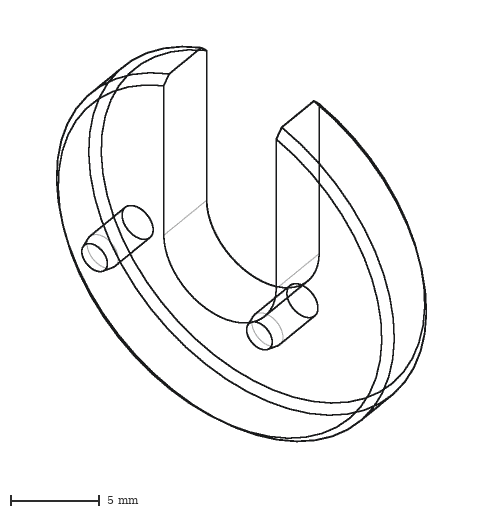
import cadquery as cq

disc_diameter = 23.98
disc_thickness = 4.0
rim_chamfer = 0.5

slot_width = 7.99

pin_diameter = 2.2
pin_length = 4.0
pin_spacing = 11.7
tip_length = 0.72
tip_inset = 0.2


def make_disc():
    """Disc chamfered around both rims, extending toward +Y."""
    disc = cq.Workplane("XZ").circle(disc_diameter / 2).extrude(-disc_thickness)
    return disc.faces("<Y or >Y").edges().chamfer(rim_chamfer)


def make_slot():
    """Slot cutter running from the disc centre out through the top."""
    round_bottom = cq.Workplane("XZ").circle(slot_width / 2).extrude(-disc_thickness)
    straight_sides = (
        cq.Workplane("XZ")
        .rect(slot_width, disc_diameter)
        .extrude(-disc_thickness)
        .translate((0, 0, disc_diameter / 2))
    )
    return round_bottom.union(straight_sides)


def make_pin(x):
    """Pin with a tapered tip, extending toward -Y."""
    shank_length = pin_length - tip_length
    end_radius = pin_diameter / 2 - tip_inset
    tip = cq.Solid.makeCone(
        pin_diameter / 2,
        end_radius,
        tip_length,
        pnt=cq.Vector(x, -shank_length, 0),
        dir=cq.Vector(0, -1, 0),
    )
    shank = cq.Workplane("XZ").center(x, 0).circle(pin_diameter / 2).extrude(shank_length)
    return shank.union(cq.Workplane(tip))


result = make_disc().cut(make_slot())
for side in (-1, 1):
    result = result.union(make_pin(side * pin_spacing / 2))